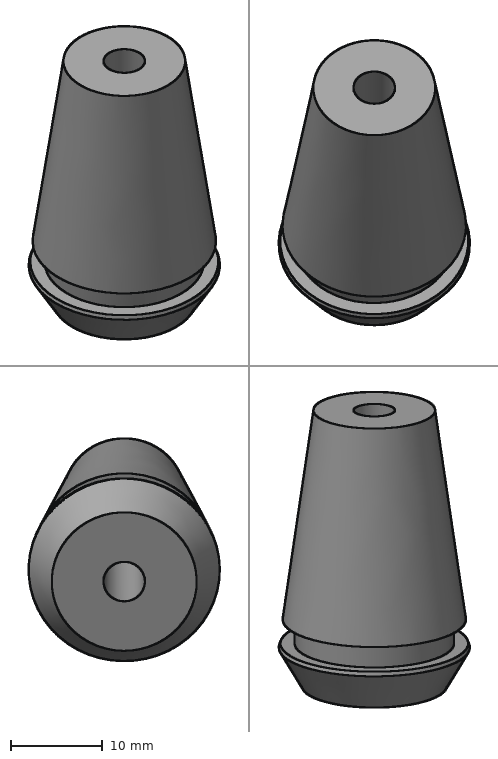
import cadquery as cq
import math

total_height = 31.5
bore_diameter = 4.5

taper_base_diameter = 20.0
taper_base_height = 7.6
taper_half_angle = 8.0

neck_diameter = 17.4

flange_diameter = 20.85
flange_top_diameter = 20.48
flange_top_height = 4.85
flange_rim_height = 4.38
flange_half_angle = 30.0

taper_length = total_height - taper_base_height
taper_shrink = taper_length * math.tan(math.radians(taper_half_angle))
top_radius = taper_base_diameter / 2 - taper_shrink
flange_shrink = flange_rim_height * math.tan(math.radians(flange_half_angle))
bottom_radius = flange_diameter / 2 - flange_shrink

half_section = [
    (bore_diameter / 2, 0),
    (bottom_radius, 0),
    (flange_diameter / 2, flange_rim_height),
    (flange_top_diameter / 2, flange_top_height),
    (neck_diameter / 2, flange_top_height),
    (neck_diameter / 2, taper_base_height),
    (taper_base_diameter / 2, taper_base_height),
    (top_radius, total_height),
    (bore_diameter / 2, total_height),
]

result = cq.Workplane("XZ").polyline(half_section).close().revolve(360, (0, 0), (0, 1))